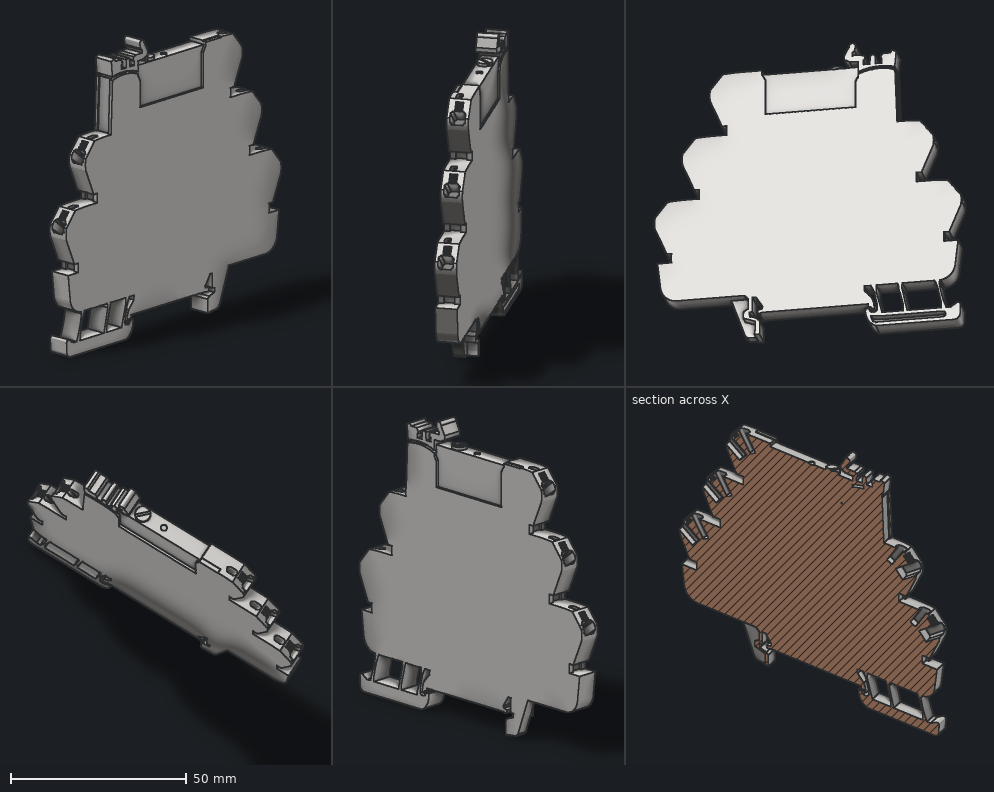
import cadquery as cq


width = 6.4
half_length = 44.7

body_bottom = 12.5
base_top_reach = 43.8
base_low_reach = 42.9
corner_rise = 4.1
corner_run = 4.5
corner_mid_reach = 41.6
corner_mid_height = 13.9

front_tiers = 2
back_tiers = 3
tier_rise = 19.0
tier_setback = 8.0
tier_underside = 27.3
lobe_height = 16.3
neck_height = tier_rise - lobe_height
base_top = tier_underside - neck_height
lobe_nose_low = 7.9
lobe_nose_mid = 9.65
lobe_nose_high = 11.4
lobe_shoulder = 16.0
neck_reach = 39.7
lobe_under_reach = 41.2
nose_reach = 44.5
shoulder_reach = 40.8
crown_reach = 38.5
crown_sag = 0.1
flat_reach = 35.9
neck_recess_width = 3.2
neck_recess_depth = 0.9

column_outer_foot = -26.0
column_outer_top = -25.4
column_inner = -14.7
column_edge_height = 78.65
column_crown = (-20.9, 79.4)
column_inner_height = 78.1
label_width = 4.4
label_depth = 0.45

relay_top = 80.4
relay_bottom = 68.0
relay_back = 13.4
relay_left_inset = 0.5
relay_right_inset = 0.8
relay_x = (relay_left_inset - relay_right_inset) / 2
screw_center_y = -7.8
screw_radius = 2.2
screw_height = 0.9
screw_slot_width = 0.7
screw_slot_depth = 0.4
screw_slot_angle = -45
indicator_center_y = -0.6
indicator_radius = 0.9
indicator_depth = 0.3
step_strip_width = 1.3
step_strip_depth = 0.3

lever_width = 6.2
lever_base = 78.8
lever_tip_radius = 1.0
lever_tip_height = 87.85
latch_web_width = 4.3

rail_bottom = 6.9
wedge_thickness = width / 2
foot_bar_top = 4.0
foot_groove_depth = 2.7

wire_width = 4.5
wire_height = 3.75
wire_chamfer = 0.7
wire_rise = 0.2
wire_depth = 7.15
window_width = 2.15
window_height = 0.5
window_pitch = 1.0
window_count = 3
window_start = 2.7
window_depth = 1.3
slot_width = 1.8
slot_length = 3.0
slot_depth = 7.15
slot_tilt = 30
slot_center_x = 0.58
slot_center_reach = 39.05
overshoot = 0.9


def prism(outline, thickness=width, center_x=0.0):
    """Extrude a closed YZ outline symmetrically about the given X."""
    return outline.extrude(thickness / 2, both=True).translate((center_x, 0, 0))


def polygon(points):
    return cq.Workplane("YZ").polyline(points).close()


def add_lobe(outline, tier, side):
    """Continue an outline up around a terminal lobe (side = 1 at +Y, -1 at -Y), from neck to flat top."""
    back = tier * tier_setback
    base = tier_underside + tier * tier_rise

    def at(reach, rise):
        return (side * (reach - back), base + rise)

    return (
        outline.lineTo(*at(neck_reach, 0))
        .lineTo(*at(lobe_under_reach, 0))
        .lineTo(*at(nose_reach, lobe_nose_low))
        .threePointArc(at(half_length, lobe_nose_mid), at(nose_reach, lobe_nose_high))
        .lineTo(*at(shoulder_reach, lobe_shoulder))
        .threePointArc(at(crown_reach, lobe_height - crown_sag), at(flat_reach, lobe_height))
    )


def housing_half(side, tiers):
    """One end of the housing, from the middle plane outwards, with its stack of terminal lobes."""
    corner_mid = (side * corner_mid_reach, corner_mid_height)
    outline = (
        cq.Workplane("YZ")
        .moveTo(0, body_bottom)
        .lineTo(side * (base_low_reach - corner_run), body_bottom)
        .threePointArc(corner_mid, (side * base_low_reach, body_bottom + corner_rise))
        .lineTo(side * base_top_reach, base_top)
        .lineTo(side * neck_reach, base_top)
    )
    for tier in range(tiers):
        outline = add_lobe(outline, tier, side)
        top = tier_underside + tier * tier_rise + lobe_height
        if tier < tiers - 1:
            outline = outline.lineTo(side * (neck_reach - (tier + 1) * tier_setback), top)
    return outline, top


def housing():
    back, back_top = housing_half(1, back_tiers)
    back = (
        back.lineTo(relay_back, back_top)
        .lineTo(relay_back, relay_top)
        .lineTo(0, relay_top)
        .close()
    )
    front, front_top = housing_half(-1, front_tiers)
    front = (
        front.lineTo(column_outer_foot, front_top)
        .lineTo(column_outer_top, column_edge_height)
        .threePointArc(column_crown, (column_inner, column_inner_height))
        .lineTo(column_inner, relay_top)
        .lineTo(0, relay_top)
        .close()
    )
    return prism(back).union(prism(front))


def relay_side_cuts():
    """Step both sides of the relay back from the housing sides."""
    window = [
        (relay_back, relay_top),
        (12.3, 78.6),
        (12.3, relay_bottom),
        (-13.85, relay_bottom),
        (-13.85, 76.0),
        (column_inner, 77.4),
        (column_inner, relay_top),
    ]
    left = prism(polygon(window), relay_left_inset, (relay_left_inset - width) / 2)
    right = prism(polygon(window), relay_right_inset, (width - relay_right_inset) / 2)
    return left.union(right)


def relay_screw():
    head = (
        cq.Workplane("XY", origin=(relay_x, screw_center_y, relay_top))
        .circle(screw_radius)
        .extrude(screw_height)
    )
    slot = (
        cq.Workplane("XY", origin=(relay_x, screw_center_y, relay_top + screw_height))
        .transformed(rotate=(0, 0, screw_slot_angle))
        .rect(2 * screw_radius, screw_slot_width)
        .extrude(-screw_slot_depth)
    )
    return head.cut(slot)


def indicator_window():
    return (
        cq.Workplane("XY", origin=(relay_x, indicator_center_y, relay_top))
        .circle(indicator_radius)
        .extrude(-indicator_depth)
    )


def top_step():
    """Shallow step along the +X edge of the uppermost flat."""
    last_tier = back_tiers - 1
    top = tier_underside + last_tier * tier_rise + lobe_height
    flat_end = flat_reach - last_tier * tier_setback
    corner = (width / 2 - step_strip_width, relay_back, top - step_strip_depth)
    strip = cq.Workplane("XY").box(step_strip_width, flat_end - relay_back, step_strip_depth, centered=False)
    return strip.translate(corner)


def label_recess():
    """Upright recess in the outer face of the latch column."""
    foot = tier_underside + (front_tiers - 1) * tier_rise + lobe_height
    face = [
        (column_outer_foot, foot),
        (column_outer_foot + label_depth, foot),
        (column_outer_top + label_depth, column_crown[1]),
        (column_outer_foot, column_crown[1]),
    ]
    return prism(polygon(face), label_width)


def latch_lever():
    """Toothed release lever on top of the latch column."""
    tip_center = lever_tip_height - lever_tip_radius
    outline = (
        cq.Workplane("YZ")
        .moveTo(column_inner, lever_base)
        .lineTo(column_inner, 81.95)
        .lineTo(-12.15, 82.1)
        .lineTo(-10.55, 82.9)
        .lineTo(-10.55, 84.2)
        .lineTo(-12.0, tip_center)
        .threePointArc((-13.0, lever_tip_height), (-13.9, tip_center))
        .lineTo(-13.6, 85.4)
        .lineTo(-12.9, 84.7)
        .lineTo(-12.9, 84.0)
        .lineTo(-15.5, 84.0)
        .lineTo(-16.4, 83.65)
        .lineTo(-16.7, 82.8)
        .lineTo(-16.2, 82.2)
        .lineTo(-16.2, 81.1)
        .lineTo(-18.0, 81.1)
        .lineTo(-18.1, 83.5)
        .threePointArc((-18.9, 83.8), (-19.6, 83.5))
        .lineTo(-19.7, 81.1)
        .lineTo(-21.45, 81.1)
        .lineTo(-21.45, 82.2)
        .lineTo(-21.1, 83.0)
        .lineTo(-21.8, 84.0)
        .lineTo(-23.95, 84.0)
        .lineTo(-24.5, 84.9)
        .lineTo(-25.7, 84.3)
        .lineTo(-25.3, 79.6)
        .threePointArc((-21.1, 80.2), (column_inner, lever_base))
        .close()
    )
    return prism(outline, lever_width)


def latch_web():
    """Narrow web joining the lever to the column across the gap between their curved faces."""
    web = [(-18.6, 78.65), (-18.6, 80.4), (-24.85, 80.4), (-24.85, 78.65)]
    return prism(polygon(web), latch_web_width)


def rail_block():
    """Block that sits over the rail, ending in a hook at each end."""
    return prism(polygon([
        (16.1, body_bottom),
        (16.1, 11.7),
        (15.1, 11.7),
        (13.1, 8.7),
        (13.3, 8.0),
        (14.7, 7.7),
        (14.6, 6.8),
        (14.0, 6.6),
        (13.1, rail_bottom),
        (-17.6, rail_bottom),
        (-17.6, 6.1),
        (-18.5, 5.8),
        (-18.7, 5.2),
        (-19.4, 5.3),
        (-19.2, 7.15),
        (-18.7, 8.7),
        (-16.5, 11.2),
        (-16.4, body_bottom),
    ]))


def rail_spring():
    """Bent spring leg that snaps behind the rail, backed by a wedge on its +X half."""
    leg = polygon([
        (16.1, body_bottom),
        (16.1, 7.3),
        (17.1, 7.15),
        (16.9, 5.9),
        (14.75, 5.2),
        (14.0, 4.5),
        (14.0, 0.3),
        (15.55, 0.3),
        (15.3, 1.7),
        (15.3, 4.3),
        (18.8, 5.5),
        (18.8, 7.4),
        (17.3, 8.3),
        (17.3, 11.35),
        (18.4, body_bottom),
    ])
    wedge = polygon([
        (23.0, body_bottom),
        (19.0, 1.5),
        (18.2, 0.7),
        (15.5, 0.45),
        (15.3, 1.7),
        (15.3, 4.3),
        (17.9, 6.3),
        (16.7, 8.9),
        (16.7, body_bottom),
    ])
    return prism(leg).union(prism(wedge, wedge_thickness, (width - wedge_thickness) / 2))


def rail_foot():
    """Sliding foot hung from three slanted struts."""
    outline = (
        cq.Workplane("YZ")
        .moveTo(-18.3, body_bottom)
        .lineTo(-19.2, 10.8)
        .lineTo(-20.1, 6.8)
        .lineTo(-20.2, 5.0)
        .threePointArc((-19.4, 4.3), (-18.5, 4.5))
        .lineTo(-17.8, 5.45)
        .lineTo(-16.7, 5.45)
        .lineTo(-16.9, 3.6)
        .threePointArc((-17.8, 1.5), (-19.75, 0))
        .lineTo(-42.7, 0)
        .threePointArc((-43.8, 0.45), (-44.3, 1.3))
        .lineTo(-44.5, 4.6)
        .threePointArc((-43.9, 5.3), (-43.1, 5.0))
        .lineTo(-41.6, foot_bar_top)
        .lineTo(-40.3, foot_bar_top)
        .threePointArc((-39.5, 6.3), (-38.25, 11.9))
        .lineTo(-38.7, body_bottom)
        .close()
    )
    inner_gap = [
        (-19.9, body_bottom),
        (-26.1, body_bottom),
        (-27.8, 5.7),
        (-27.8, foot_bar_top),
        (-21.6, foot_bar_top),
        (-20.9, 6.8),
        (-19.9, 10.5),
    ]
    outer_gap = [
        (-27.5, body_bottom),
        (-36.9, body_bottom),
        (-37.8, 10.1),
        (-38.8, 5.7),
        (-38.8, foot_bar_top),
        (-29.0, foot_bar_top),
        (-27.35, 11.3),
    ]
    groove = (
        cq.Workplane("YZ")
        .moveTo(-18.4, 3.1)
        .lineTo(-21.45, 2.9)
        .lineTo(-39.3, 2.9)
        .threePointArc((-40.1, 2.0), (-39.3, 1.1))
        .lineTo(-19.75, 1.1)
        .threePointArc((-18.8, 1.9), (-18.4, 3.1))
        .close()
    )
    foot = prism(outline).cut(prism(polygon(inner_gap))).cut(prism(polygon(outer_gap)))
    return foot.cut(prism(groove, foot_groove_depth, (foot_groove_depth - width) / 2))


def terminal_tool():
    """Everything to be cut away at the lowest lobe at -Y."""
    nose = (-nose_reach, tier_underside + lobe_nose_high)
    shoulder = (-shoulder_reach, tier_underside + lobe_shoulder)
    outward = (0, nose[1] - shoulder[1], shoulder[0] - nose[0])
    slope = cq.Plane(origin=(0, *nose), xDir=(1, 0, 0), normal=outward)

    tool = (
        cq.Workplane(slope)
        .workplane(offset=overshoot)
        .center(0, wire_rise)
        .rect(wire_width, wire_height)
        .extrude(-wire_depth - overshoot)
        .edges(cq.selectors.ParallelDirSelector(slope.zDir))
        .chamfer(wire_chamfer)
    )
    for i in range(window_count):
        window = (
            cq.Workplane(slope)
            .workplane(offset=overshoot)
            .center(0, window_start + i * window_pitch)
            .rect(window_width, window_height)
            .extrude(-window_depth - overshoot)
        )
        tool = tool.union(window)
    slot = (
        cq.Workplane("XY", origin=(slot_center_x, -slot_center_reach, tier_underside + lobe_height))
        .transformed(rotate=(slot_tilt, 0, 0))
        .workplane(offset=overshoot)
        .slot2D(slot_length, slot_width, 90)
        .extrude(-slot_depth - overshoot)
    )
    neck = (
        cq.Workplane("XY")
        .box(neck_recess_width, 2 * neck_recess_depth, neck_height)
        .translate((0, -neck_reach, (tier_underside + base_top) / 2))
    )
    return tool.union(slot).union(neck)


def cut_terminals(solid):
    tool = terminal_tool()
    mirrored = tool.mirror("XZ")
    for tier in range(front_tiers):
        solid = solid.cut(tool.translate((0, tier * tier_setback, tier * tier_rise)))
    for tier in range(back_tiers):
        solid = solid.cut(mirrored.translate((0, -tier * tier_setback, tier * tier_rise)))
    return solid


body = housing().cut(relay_side_cuts()).cut(indicator_window()).cut(top_step()).cut(label_recess())
body = cut_terminals(body)
for piece in (relay_screw(), latch_lever(), latch_web(), rail_block(), rail_spring(), rail_foot()):
    body = body.union(piece)

result = body